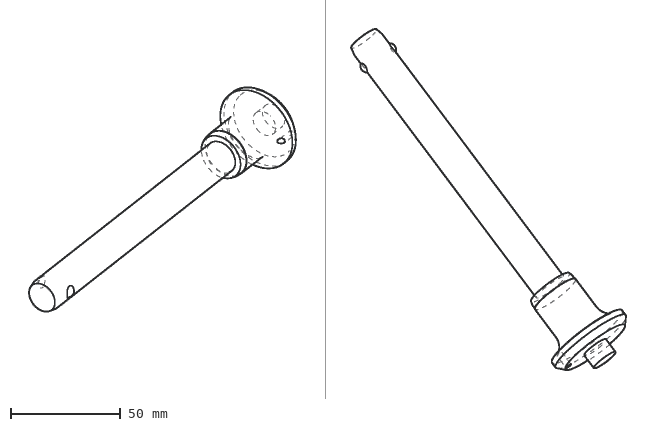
import cadquery as cq


overall_length = 186.2

flange_radius = 20.0
sleeve_radius = 11.6
collar_radius = 11.4
flare_radius = flange_radius - sleeve_radius
collar_length = 3.9
collar_chamfer_length = 1.8
collar_chamfer_depth = 0.5
sleeve_length = 16.2
rim_length = 2.9
rim_chamfer_length = 3.4
rim_chamfer_depth = 3.0

button_radius = 6.2
button_length = 7.4

shank_radius = 8.0
tip_taper_length = 3.5
tip_taper_depth = 0.8

ball_radius = 3.2
ball_reach = 9.4
ball_to_tip = 11.2

lanyard_hole_diameter = 2.8
lanyard_hole_offset = 15.0

sleeve_start = collar_length
flare_start = sleeve_start + sleeve_length
rim_start = flare_start + flare_radius
rim_end = rim_start + rim_length
flange_top = rim_end + rim_chamfer_length
button_top = flange_top + button_length
tip = button_top - overall_length


def make_handle():
    """Flanged handle, end collar and button as one half profile revolved about Y."""
    collar_face_radius = collar_radius - collar_chamfer_depth
    flange_top_radius = flange_radius - rim_chamfer_depth
    profile = (
        cq.Workplane("XY")
        .lineTo(collar_face_radius, 0)
        .lineTo(collar_radius, collar_chamfer_length)
        .lineTo(collar_radius, sleeve_start)
        .lineTo(sleeve_radius, sleeve_start)
        .lineTo(sleeve_radius, flare_start)
        .radiusArc((flange_radius, rim_start), flare_radius)
        .lineTo(flange_radius, rim_end)
        .lineTo(flange_top_radius, flange_top)
        .lineTo(button_radius, flange_top)
        .lineTo(button_radius, button_top)
        .lineTo(0, button_top)
        .close()
    )
    return profile.revolve(360, (0, 0), (0, 1))


def make_shank():
    """Plain cylindrical shank with a tapered tip, running up into the handle."""
    profile = (
        cq.Workplane("XY")
        .moveTo(0, tip)
        .lineTo(shank_radius - tip_taper_depth, tip)
        .lineTo(shank_radius, tip + tip_taper_length)
        .lineTo(shank_radius, sleeve_start)
        .lineTo(0, sleeve_start)
        .close()
    )
    return profile.revolve(360, (0, 0), (0, 1))


def make_ball(side):
    """Locking ball standing out of the shank on the +X (1) or -X (-1) side."""
    center_x = side * (ball_reach - ball_radius)
    return cq.Workplane("XY").sphere(ball_radius).translate((center_x, tip + ball_to_tip, 0))


def make_lanyard_hole():
    """Cutter for the hole through the flange, parallel to the pin axis."""
    return (
        cq.Workplane("XZ", origin=(0, flange_top, 0))
        .center(lanyard_hole_offset, 0)
        .circle(lanyard_hole_diameter / 2)
        .extrude(flange_top - flare_start)
    )


result = make_handle().cut(make_lanyard_hole()).union(make_shank())
for side in (-1, 1):
    result = result.union(make_ball(side))